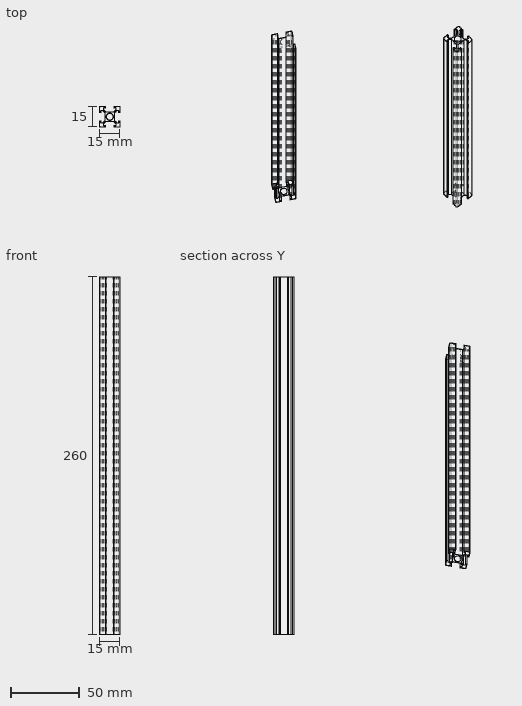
import cadquery as cq
import math

LENGTH = 260.0
WIDTH = 15.0
SLOT_OPENING = 6.2
LIP_THICKNESS = 1.0
CORNER_BLOCK = 3.0
CORE_WIDTH = 7.0
BORE_DIAMETER = 5.0
WEB_THICKNESS = 1.0
CORNER_RADIUS = 0.8

HALF_WIDTH = WIDTH / 2


def square_bar(width):
    """Full-length square bar centred on the Z axis."""
    return cq.Workplane("XY").rect(width, width).extrude(LENGTH)


def corner_rail():
    """Solid corner block with a thin lip along each of its two outer faces."""
    block_inner = HALF_WIDTH - CORNER_BLOCK
    lip_inner = HALF_WIDTH - LIP_THICKNESS
    lip_tip = SLOT_OPENING / 2
    outline = [
        (HALF_WIDTH, HALF_WIDTH),
        (lip_tip, HALF_WIDTH),
        (lip_tip, lip_inner),
        (block_inner, lip_inner),
        (block_inner, block_inner),
        (lip_inner, block_inner),
        (lip_inner, lip_tip),
        (HALF_WIDTH, lip_tip),
    ]
    return cq.Workplane("XY").polyline(outline).close().extrude(LENGTH)


def diagonal_web():
    """Thin diagonal wall joining two opposite corner blocks through the core."""
    reach = (WIDTH - CORNER_BLOCK) * math.sqrt(2)
    return (
        cq.Workplane("XY")
        .rect(reach, WEB_THICKNESS)
        .extrude(LENGTH)
        .rotate((0, 0, 0), (0, 0, 1), 45)
    )


rail = corner_rail()
web = diagonal_web()
body = square_bar(CORE_WIDTH)
for quarter_turn in range(4):
    angle = 90 * quarter_turn
    body = body.union(rail.rotate((0, 0, 0), (0, 0, 1), angle))
for angle in (0, 90):
    body = body.union(web.rotate((0, 0, 0), (0, 0, 1), angle))

envelope = square_bar(WIDTH).edges("|Z").fillet(CORNER_RADIUS)
bore = cq.Workplane("XY").circle(BORE_DIAMETER / 2).extrude(LENGTH)
result = body.intersect(envelope).cut(bore)